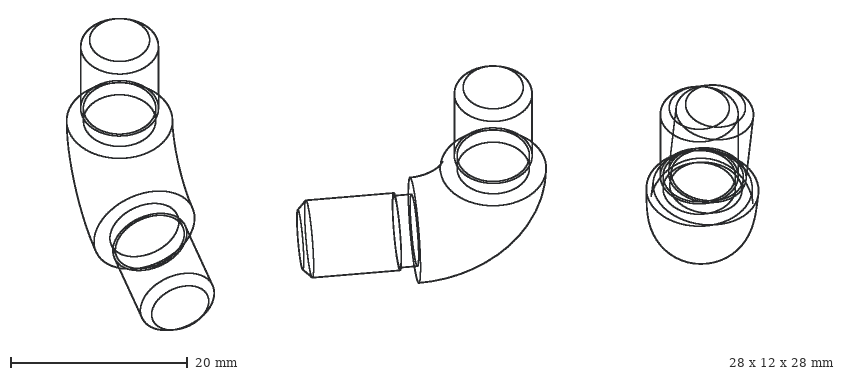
import cadquery as cq

overall_length = 28.0
body_diameter = 12.0
bend_radius = 9.0
neck_diameter = 8.2
neck_length = 2.0
shank_diameter = 8.82
tip_chamfer = 1.0

bend_outer_radius = bend_radius + body_diameter / 2
shank_length = overall_length - bend_outer_radius - neck_length


def make_elbow():
    """Quarter-torus body from the upward face (Z = 0) to the sideways face (X = 0)."""
    return (
        cq.Workplane("XY")
        .center(-bend_radius, 0)
        .circle(body_diameter / 2)
        .revolve(90, (bend_radius, 0, 0), (bend_radius, -1, 0))
    )


def make_spigot(face_plane):
    """Undercut neck and chamfered shank standing on an end face of the elbow."""
    neck = cq.Workplane(face_plane).circle(neck_diameter / 2).extrude(neck_length)
    shank = (
        cq.Workplane(face_plane)
        .workplane(offset=neck_length)
        .circle(shank_diameter / 2)
        .extrude(shank_length)
        .faces(cq.selectors.DirectionMinMaxSelector(face_plane.zDir, True))
        .chamfer(tip_chamfer)
    )
    return neck.union(shank)


upper_face = cq.Plane(origin=(-bend_radius, 0, 0), normal=(0, 0, 1))
side_face = cq.Plane(origin=(0, 0, -bend_radius), xDir=(0, 1, 0), normal=(1, 0, 0))

result = make_elbow()
for end_face in (upper_face, side_face):
    result = result.union(make_spigot(end_face))